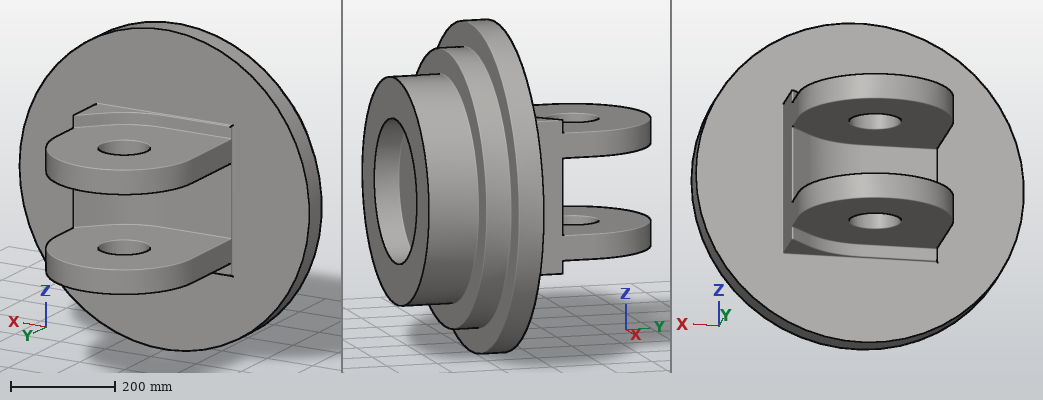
import cadquery as cq
import math

flange_diameter = 640.0
middle_diameter = 540.0
boss_diameter = 440.0
step_thickness = 50.0
boss_length = 2 * step_thickness
recess_diameter = 280.0
recess_depth = step_thickness

pad_size = 300.0
pad_thickness = 5.0
lug_thickness = step_thickness
lug_gap = 3 * lug_thickness
lug_radius = pad_size / 2
lug_hole_diameter = 2 * step_thickness
hole_distance = 155.0
ramp_radius = pad_size / 2
ramp_angle = math.radians(45)

edge_radius = 2.0

middle_back = boss_length + step_thickness
flange_back = middle_back + step_thickness
pad_back = flange_back + pad_thickness
hole_y = flange_back + hole_distance
half_pad = pad_size / 2
arc_run = ramp_radius * math.sin(ramp_angle)
arc_rise = ramp_radius * (1 - math.cos(ramp_angle))
ramp_tip_y = pad_back + arc_rise + (half_pad - arc_run) * math.tan(ramp_angle)
lug_bottoms = (lug_gap / 2, -lug_gap / 2 - lug_thickness)


def make_body():
    """Stepped disc with a round recess; the front and back rims stay sharp."""
    body = (
        cq.Workplane("XY")
        .moveTo(0, recess_depth)
        .lineTo(recess_diameter / 2, recess_depth)
        .lineTo(recess_diameter / 2, 0)
        .lineTo(boss_diameter / 2, 0)
        .lineTo(boss_diameter / 2, boss_length)
        .lineTo(middle_diameter / 2, boss_length)
        .lineTo(middle_diameter / 2, middle_back)
        .lineTo(flange_diameter / 2, middle_back)
        .lineTo(flange_diameter / 2, flange_back)
        .lineTo(0, flange_back)
        .close()
        .revolve(360, (0, 0, 0), (0, 1, 0))
    )
    rounded = cq.selectors.BoxSelector(
        (-flange_diameter, recess_depth / 2, -flange_diameter),
        (flange_diameter, flange_back - step_thickness / 2, flange_diameter),
    )
    return body.edges("%CIRCLE").edges(rounded).fillet(edge_radius)


def make_pad():
    plane = cq.Workplane("XZ", origin=(0, flange_back, 0))
    return plane.rect(pad_size, pad_size).extrude(-pad_thickness)


def make_lug(bottom_z):
    """Round-ended plate with a pin hole, standing on the pad."""
    return (
        cq.Workplane("XY", origin=(0, 0, bottom_z))
        .moveTo(-half_pad, pad_back)
        .lineTo(half_pad, pad_back)
        .lineTo(half_pad, hole_y)
        .threePointArc((0, hole_y + lug_radius), (-half_pad, hole_y))
        .close()
        .moveTo(0, hole_y)
        .circle(lug_hole_diameter / 2)
        .extrude(lug_thickness)
    )


def make_ramp():
    """Wedge that leaves the pad along an arc and carries on straight to the pad's +X edge."""
    mid_x = ramp_radius * math.sin(ramp_angle / 2)
    mid_y = pad_back + ramp_radius * (1 - math.cos(ramp_angle / 2))
    return (
        cq.Workplane("XY", origin=(0, 0, -half_pad))
        .moveTo(0, pad_back)
        .threePointArc((mid_x, mid_y), (arc_run, pad_back + arc_rise))
        .lineTo(half_pad, ramp_tip_y)
        .lineTo(half_pad, pad_back)
        .close()
        .extrude(pad_size)
    )


def edges_in_slice(part, z, low_y, high_y):
    """Edges lying in the plane at height z, between two Y positions and clear of the pad's X sides."""
    reach = half_pad - edge_radius
    box = cq.selectors.BoxSelector(
        (-reach, low_y, z - edge_radius / 2),
        (reach, high_y, z + edge_radius / 2),
    )
    return part.edges(box).vals()


def make_mount():
    """Pad, ramp and two lugs, with rounded roots and rounded outlines."""
    mount = make_pad().union(make_ramp())
    for bottom_z in lug_bottoms:
        mount = mount.union(make_lug(bottom_z))
    lug_faces = [z + offset for z in lug_bottoms for offset in (0, lug_thickness)]
    low_y = pad_back - edge_radius / 2

    roots = []
    for z in lug_faces:
        roots += edges_in_slice(mount, z, low_y, ramp_tip_y)
    mount = mount.newObject(roots).fillet(edge_radius)

    outlines = []
    for z in lug_faces:
        outlines += edges_in_slice(mount, z, ramp_tip_y, hole_y + 2 * lug_radius)
    for z in (-half_pad, half_pad):
        outlines += edges_in_slice(mount, z, low_y, ramp_tip_y)
    outlines += mount.edges("|Y and (>Z or <Z)").edges(">X").vals()
    return mount.newObject(outlines).fillet(edge_radius)


def round_seam(part):
    """Concave fillet around the pad where it meets the flange."""
    reach = half_pad + edge_radius
    seam = cq.selectors.BoxSelector(
        (-reach, flange_back - edge_radius / 2, -reach),
        (reach, flange_back + edge_radius / 2, reach),
    )
    return part.edges("|X or |Z").edges(seam).fillet(edge_radius)


result = round_seam(make_body().union(make_mount()))